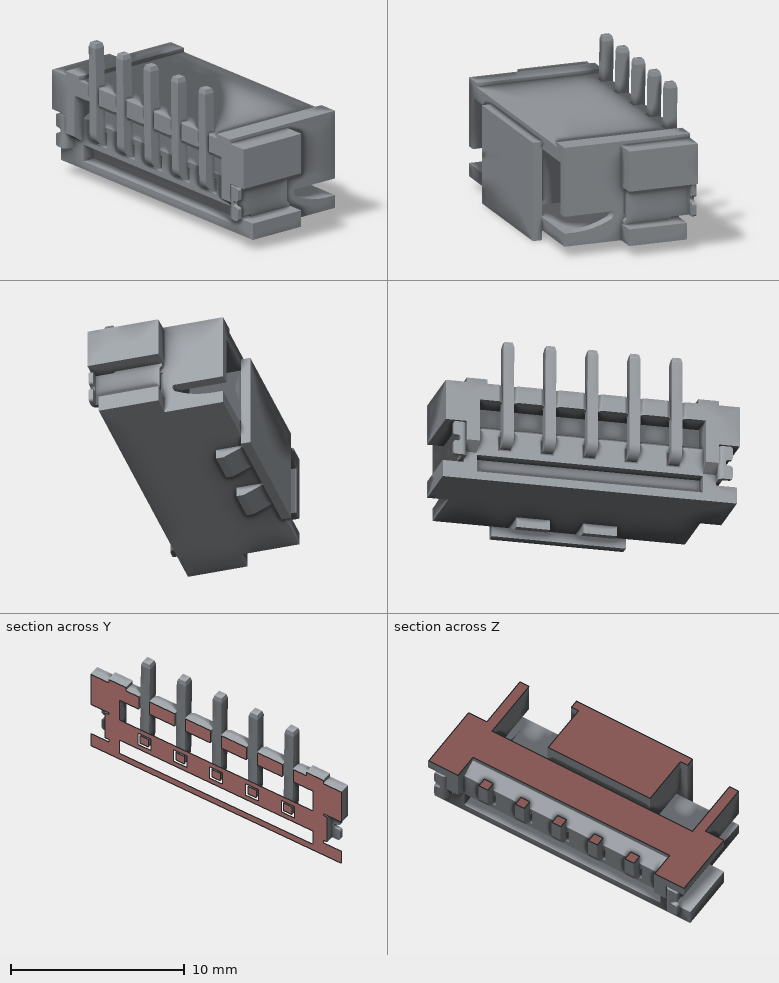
import cadquery as cq


length = 17.5
body_width = 15.0
body_depth = 7.79
body_height = 5.69
rail_width = 1.22
rail_height = 0.26
ear_depth = 4.27
ear_bottom = 3.27
foot_height = 1.0
face_setback = 0.68
slope_bottom = 1.65
slope_top = 2.14

recess_width = 13.44
groove_bottom = 0.49
groove_top = 1.5
groove_depth = 0.77
sill_height = 3.13
sill_rise = 0.47
sill_run = 0.91
lintel_height = 4.67

floor_thickness = 0.79
side_wall = 0.65
cavity_bottom = 3.85
slot_end = 4.78
slot_top = 1.8
slot_flat = 0.61
slot_knee = 4.94
slot_knee_height = 1.33

pin_count = 5
pin_pitch = 2.5
pin_size = 0.63
pin_top = 8.36
pin_bottom = 2.03
pin_inner_radius = 0.09
pin_bend_radius = pin_inner_radius + pin_size
pin_lean = 0.09
pin_end = 3.5
tip_length = 0.28
tip_taper = 0.07
notch_width = 0.72
notch_depth = 0.7
notch_lead_width = 1.12
notch_lead_depth = 0.18
opening_width = 0.9
opening_bottom = 1.87
opening_depth = 0.14

standoff = 0.07
tab_thickness = 0.26
tab_center = 2.17
tab_reach = 8.31
tab_front_height = 2.01
tab_step = 1.38
tab_step_slope = 0.09
tab_end = 4.02
tab_end_height = 1.61
tab_end_slope = 0.18
tab_corner = 0.15
tab_notch = 0.35
tab_notch_radius = 0.15
tab_notch_depth = 0.42
tab_inner_radius = 0.04
tab_bend_radius = tab_inner_radius + tab_thickness
tab_relief_width = 0.1
tab_relief_height = 1.26
tab_relief_depth = 0.1

latch_drop = 0.6
latch_width = 2.0
latch_spacing = 3.97
latch_depth = 1.8
latch_flat = 0.44
cap_width = 7.98
cap_top = 5.32
cap_thickness = 0.56
plug_bottom = 1.38
plug_front = 4.55
plug_width = 7.0

half_body = body_width / 2
cavity_top = body_height - floor_thickness
cavity_width = body_width - 2 * side_wall
pin_places = [(i - (pin_count - 1) / 2) * pin_pitch for i in range(pin_count)]
cap_back = body_depth + cap_thickness


def box(x0, x1, y0, y1, z0, z1):
    """Box between two opposite corners."""
    return cq.Workplane("XY").box(x1 - x0, y1 - y0, z1 - z0, centered=False).translate((x0, y0, z0))


def wide_box(width, y0, y1, z0, z1):
    """Box centred on X = 0."""
    return box(-width / 2, width / 2, y0, y1, z0, z1)


def along_x(sketch, width):
    """Extrude a YZ outline by a width centred on X = 0."""
    return sketch.extrude(width / 2, both=True)


def mirrored(shape):
    """The shape together with its mirror image across X = 0."""
    return shape.union(shape.mirror("YZ"))


def make_housing():
    profile = cq.Workplane("YZ").polyline([
        (0, body_height), (0, slope_top), (face_setback, slope_bottom),
        (face_setback, 0), (body_depth, 0), (body_depth, body_height),
    ]).close()
    housing = along_x(profile, body_width)
    rail = box(half_body - rail_width, half_body, 0, body_depth, body_height, body_height + rail_height)
    ear = box(half_body, length / 2, 0, ear_depth, ear_bottom, body_height)
    foot = box(half_body, length / 2, face_setback, ear_depth, 0, foot_height)
    return housing.union(mirrored(rail.union(ear).union(foot)))


def make_board_side_recesses():
    groove = wide_box(recess_width, face_setback, face_setback + groove_depth, groove_bottom, groove_top)
    profile = cq.Workplane("YZ").polyline([
        (0, slope_bottom), (face_setback, slope_bottom), (face_setback, sill_height),
        (face_setback + sill_run, sill_height + sill_rise),
        (face_setback + sill_run, lintel_height), (0, lintel_height),
    ]).close()
    return groove.union(along_x(profile, recess_width))


def make_mating_cavity():
    cavity = wide_box(cavity_width, cavity_bottom, body_depth, floor_thickness, cavity_top)
    flat_end = body_depth - slot_flat
    slot = (
        cq.Workplane("YZ")
        .moveTo(body_depth, slot_top)
        .lineTo(body_depth, floor_thickness)
        .lineTo(flat_end, floor_thickness)
        .tangentArcPoint((slot_knee, slot_knee_height), relative=False)
        .tangentArcPoint((slot_end, slot_top), relative=False)
        .close()
    )
    return cavity.union(along_x(slot, body_width))


def make_pin():
    leg_back = pin_size - standoff
    outline = (
        cq.Workplane("YZ")
        .polyline([
            (-standoff, pin_top - tip_length), (pin_lean - standoff, pin_bottom), (pin_end, pin_bottom),
            (pin_end, pin_bottom + pin_size), (leg_back + pin_lean, pin_bottom + pin_size),
            (leg_back, pin_top - tip_length),
        ])
        .close()
    )
    pin = along_x(outline, pin_size)
    outer_corner = (0, pin_lean - standoff, pin_bottom)
    pin = pin.edges(cq.selectors.NearestToPointSelector(outer_corner)).fillet(pin_bend_radius)
    inner_corner = (0, leg_back + pin_lean, pin_bottom + pin_size)
    pin = pin.edges(cq.selectors.NearestToPointSelector(inner_corner)).fillet(pin_inner_radius)
    tip_size = pin_size - 2 * tip_taper
    tip = (
        cq.Workplane("XY", origin=(0, leg_back - pin_size / 2, pin_top - tip_length))
        .rect(pin_size, pin_size)
        .workplane(offset=tip_length)
        .rect(tip_size, tip_size)
        .loft(ruled=True)
    )
    return pin.union(tip)


def make_pin_clearance():
    """Notch through the upper edge and flared opening around one contact."""
    notch = (
        cq.Workplane("XY", origin=(0, 0, lintel_height))
        .polyline([
            (-notch_lead_width / 2, 0), (-notch_width / 2, notch_lead_depth),
            (-notch_width / 2, notch_depth), (notch_width / 2, notch_depth),
            (notch_width / 2, notch_lead_depth), (notch_lead_width / 2, 0),
        ])
        .close()
        .extrude(body_height - lintel_height)
    )
    opening_center = opening_bottom + opening_width / 2
    opening = (
        cq.Workplane("XZ", origin=(0, face_setback, opening_center))
        .rect(opening_width, opening_width)
        .workplane(offset=-opening_depth)
        .rect(pin_size, pin_size)
        .loft(ruled=True)
    )
    return notch.union(opening)


def make_solder_tab():
    """Solder tab on the +X side: a plate on the side wall with its end bent outwards."""
    front_bottom = tab_center - tab_front_height / 2
    front_top = tab_center + tab_front_height / 2
    end_bottom = tab_center - tab_end_height / 2
    end_top = tab_center + tab_end_height / 2
    tab_far = tab_end + tab_end_slope
    flange_back = tab_thickness - standoff
    plate = (
        cq.Workplane("YZ", origin=(half_body, 0, 0))
        .polyline([
            (-standoff, front_top), (tab_step - tab_step_slope, front_top), (tab_step, ear_bottom),
            (tab_far, ear_bottom), (tab_far, end_top + tab_end_slope), (tab_end, end_top),
            (tab_end, end_bottom), (tab_far, end_bottom - tab_end_slope), (tab_far, foot_height),
            (tab_step, foot_height), (tab_step - tab_step_slope, front_bottom), (-standoff, front_bottom),
        ])
        .close()
        .extrude(tab_thickness)
    )
    notch = box(
        tab_reach - tab_notch_depth, tab_reach + tab_notch_depth, -standoff, flange_back,
        tab_center - tab_notch / 2, tab_center + tab_notch / 2,
    )
    notch = notch.edges("|Y").fillet(tab_notch_radius)
    flange = box(half_body, tab_reach, -standoff, flange_back, front_bottom, front_top)
    flange = flange.cut(notch).edges("|Y and >X").fillet(tab_corner)
    tab = plate.union(flange)
    tab = tab.edges("|Z and <Y and <X").fillet(tab_bend_radius)
    inner_corner = (half_body + tab_thickness, flange_back, tab_center)
    return tab.edges(cq.selectors.NearestToPointSelector(inner_corner)).fillet(tab_inner_radius)


def make_tab_relief():
    """Shallow groove in the +X side wall just past the end of the solder tab."""
    return box(
        half_body - tab_relief_depth, half_body, tab_end, tab_end + tab_relief_width,
        tab_center - tab_relief_height / 2, tab_center + tab_relief_height / 2,
    )


def make_latch_ramp():
    catch = body_depth - latch_depth
    profile = cq.Workplane("YZ").polyline([
        (body_depth, 0), (catch, 0), (catch, -latch_drop), (catch + latch_flat, -latch_drop),
    ]).close()
    return along_x(profile, latch_width).translate((latch_spacing / 2, 0, 0))


def make_cap():
    """Pick-up cap closing the mating side, with a plug reaching into the cavity."""
    plate = wide_box(cap_width, body_depth, cap_back, -latch_drop, cap_top)
    plug = wide_box(plug_width, plug_front, body_depth, plug_bottom, cavity_top)
    return plate.union(plug)


result = make_housing().cut(make_board_side_recesses()).cut(make_mating_cavity())
result = result.cut(mirrored(make_tab_relief()))

pin = make_pin()
pin_clearance = make_pin_clearance()
for x in pin_places:
    result = result.cut(pin_clearance.translate((x, 0, 0)))
for x in pin_places:
    result = result.union(pin.translate((x, 0, 0)))

result = result.union(mirrored(make_solder_tab()))
result = result.union(mirrored(make_latch_ramp()))
result = result.union(make_cap())